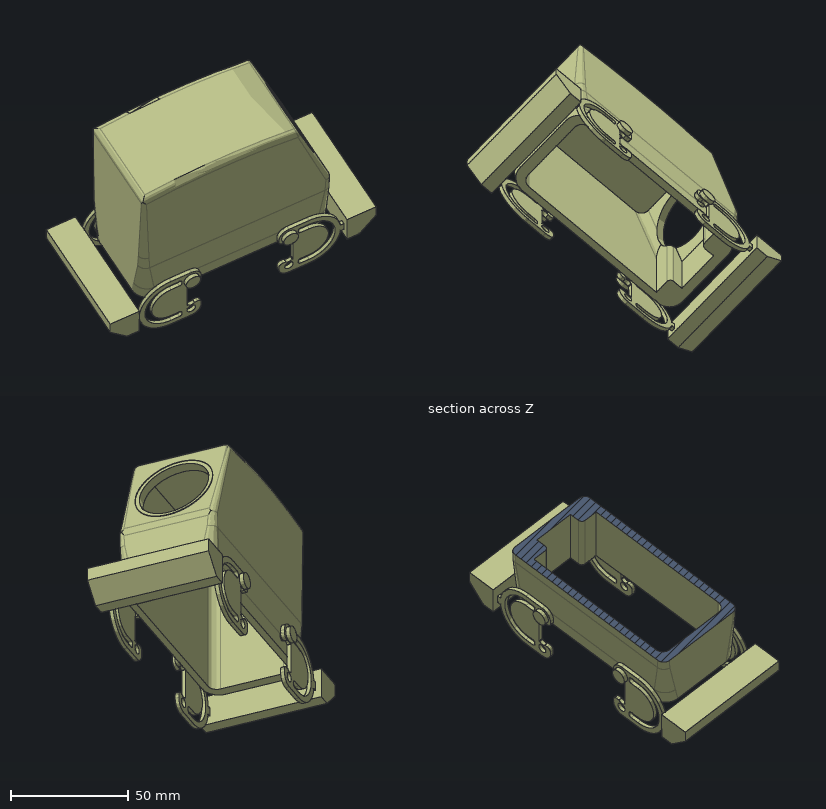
import cadquery as cq
import math


crown_height = 75.85
crown_y = -6.6
roof_radius = 270.0
roof_edge_round = 2.9
slope_top_round = 1.4
base_half_length = 46.6
wall_draft = 0.012
half_width = 22.8
skirt_half_width = 22.3
foot_half_width = 22.0
loft_top = crown_height + 1.0

skirt_height = 6.9
waist_height = 23.4
bend_height = 30.7

foot_corner_rounds = (7.4, 7.4)
skirt_corner_rounds = (6.5, 6.2)
waist_corner_rounds = (3.9, 3.4)
bend_corner_rounds = (3.5, 2.9)
top_corner_rounds = (1.5, 1.5)

bend_round = 12.0
roof_rear_height = 73.6
slope_angle = 20.4
slope_run = math.tan(math.radians(slope_angle))
bend_y = base_half_length - wall_draft * bend_height

wall = 4.0
slope_wall = 4.3
cavity_corner_round = 4.0
post_inner_x = 10.1
post_front_y = 35.4
post_edge_round = 2.0
cable_hole_diameter = 32.2
spotface_diameter = 36.0
spotface_depth = 0.3
cable_hole_height = 51.9

lever_center_y = 33.6
lever_center_z = -4.23
lever_radius = 15.45
lever_inner_x = 23.9
lever_thickness = 1.85
lobe_radius = 4.85
pivot_y = 23.75
pivot_z = lever_center_z + lever_radius - lobe_radius
pivot_hole_diameter = 4.1
notch_radius = 1.9
notch_gap = 0.65
mouth_half_height = 7.1
tip_round = 1.9
slot_outer_radius = 12.65
slot_inner_radius = 9.45
slot_end_y = 28.3
slot_end_round = 1.2
link_height = 4.1

pin_radius = 1.87
pin_inner_x = 20.0
head_radius = 3.6
head_outer_x = 27.7

handle_length = 57.0
handle_outer_y = 64.75
handle_size = 14.25
handle_inner_y = handle_outer_y - handle_size
handle_top = 4.0
handle_bevel = 8.2


def end_wall_y(z):
    """Distance of an upright end wall from the XZ plane at height z."""
    return base_half_length - wall_draft * z


def slope_y(z):
    """Y of the sloping rear face at height z."""
    return bend_y - slope_run * (z - bend_height)


def rounded_section(z, y_front, y_rear, half_x, front_round, rear_round):
    """Closed rectangle with rounded corners, lying at height z."""
    def corner(x_sign, y_edge, y_sign, radius):
        cx = x_sign * (half_x - radius)
        cy = y_edge - y_sign * radius
        on_side = (x_sign * half_x, cy)
        middle = (cx + x_sign * radius * math.sqrt(0.5), cy + y_sign * radius * math.sqrt(0.5))
        on_end = (cx, y_edge)
        return on_side, middle, on_end

    front_right = corner(1, y_front, -1, front_round)
    rear_right = corner(1, y_rear, 1, rear_round)
    rear_left = corner(-1, y_rear, 1, rear_round)
    front_left = corner(-1, y_front, -1, front_round)
    outline = (
        cq.Workplane("XY", origin=(0, 0, z))
        .moveTo(*front_right[0])
        .lineTo(*rear_right[0]).threePointArc(*rear_right[1:])
        .lineTo(*rear_left[2]).threePointArc(*rear_left[1::-1])
        .lineTo(*front_left[0]).threePointArc(*front_left[1:])
        .lineTo(*front_right[2]).threePointArc(*front_right[1::-1])
        .close()
    )
    return outline.val()


def roof_z(y):
    """Height of the arched roof at position y."""
    return crown_height - roof_radius + math.sqrt(roof_radius**2 - (y - crown_y) ** 2)


def arched_block():
    """Hood side profile carried straight across, with its roof edges rounded."""
    front_y = -end_wall_y(crown_height)
    rear_y = slope_y(roof_rear_height)
    block = (
        cq.Workplane("YZ")
        .moveTo(-end_wall_y(0), 0)
        .lineTo(front_y, roof_z(front_y))
        .threePointArc((crown_y, crown_height), (rear_y, roof_z(rear_y)))
        .lineTo(bend_y, bend_height)
        .lineTo(end_wall_y(0), 0)
        .close()
        .extrude(half_width, both=True)
    )
    bend = cq.NearestToPointSelector((0, bend_y, bend_height))
    slope_top = cq.NearestToPointSelector((0, rear_y, roof_z(rear_y)))
    block = block.edges(bend).fillet(bend_round)
    block = block.faces("%CYLINDER and >Z").edges("not(>Y)").fillet(roof_edge_round)
    return block.edges(slope_top).fillet(slope_top_round)


def tapered_sleeve():
    """Drafted upright walls whose corner rounds grow toward the foot."""
    stations = [
        (0, end_wall_y(0), foot_half_width, foot_corner_rounds),
        (skirt_height, end_wall_y(skirt_height), skirt_half_width, skirt_corner_rounds),
        (waist_height, end_wall_y(waist_height), half_width, waist_corner_rounds),
        (bend_height, bend_y, half_width, bend_corner_rounds),
        (loft_top, slope_y(loft_top), half_width, top_corner_rounds),
    ]
    sections = [
        rounded_section(z, -end_wall_y(z), rear_y, half_x, *corner_rounds)
        for z, rear_y, half_x, corner_rounds in stations
    ]
    return cq.Workplane(cq.Solid.makeLoft(sections, True))


def cavity():
    """Open-bottomed hollow that keeps the wall even behind the sloping face."""
    slope_shift = slope_wall / math.cos(math.radians(slope_angle))
    cavity_top = roof_rear_height - wall
    front_y = wall - end_wall_y(cavity_top)
    rear_y = end_wall_y(bend_height) - wall
    knee_z = bend_height + (bend_y - slope_shift - rear_y) / slope_run
    stations = [
        (0, rear_y),
        (knee_z, rear_y),
        (cavity_top, slope_y(cavity_top) - slope_shift),
    ]
    sections = [
        rounded_section(z, front_y, y, half_width - wall, cavity_corner_round, cavity_corner_round)
        for z, y in stations
    ]
    return cq.Workplane(cq.Solid.makeLoft(sections, True))


def rear_posts():
    """Full-height posts that fill the two rear corners of the hollow."""
    post = (
        cq.Workplane("XY")
        .box(
            half_width - post_inner_x,
            base_half_length - post_front_y,
            crown_height,
            centered=False,
        )
        .edges("|Z and <X and <Y")
        .fillet(post_edge_round)
        .translate((post_inner_x, post_front_y, 0))
    )
    return post.union(post.mirror("YZ"))


def cable_entry():
    """Round hole through the sloping wall with a shallow spotface around it."""
    lean = math.radians(slope_angle)
    face = cq.Plane(
        origin=(0, slope_y(cable_hole_height), cable_hole_height),
        xDir=(1, 0, 0),
        normal=(0, math.cos(lean), math.sin(lean)),
    )
    hole = cq.Workplane(face).circle(cable_hole_diameter / 2).extrude(-2 * slope_wall)
    spotface = cq.Workplane(face).circle(spotface_diameter / 2).extrude(-spotface_depth)
    return hole.union(spotface)


def hood():
    shell = arched_block().intersect(tapered_sleeve())
    return shell.cut(cavity().cut(rear_posts())).cut(cable_entry())


def lever_sketch():
    """Workplane on the inner lever face, centered on the large round end."""
    return cq.Workplane("YZ", origin=(lever_inner_x, lever_center_y, lever_center_z))


def lever_slot():
    """C-shaped window that follows the round end of the lever."""
    end = slot_end_y - lever_center_y
    slot = (
        lever_sketch()
        .moveTo(end, slot_outer_radius)
        .lineTo(0, slot_outer_radius)
        .threePointArc((slot_outer_radius, 0), (0, -slot_outer_radius))
        .lineTo(end, -slot_outer_radius)
        .lineTo(end, -slot_inner_radius)
        .lineTo(0, -slot_inner_radius)
        .threePointArc((slot_inner_radius, 0), (0, slot_inner_radius))
        .lineTo(end, slot_inner_radius)
        .close()
        .extrude(lever_thickness)
    )
    return slot.edges("|X and <Y").fillet(slot_end_round)


def lever_plate():
    """Flat D-shaped lever with a hooked lobe at each end of its open side."""
    lobe_y = pivot_y - lever_center_y
    lobe_z = pivot_z - lever_center_z
    lobe_tip_y = lobe_y - lobe_radius
    inner_edge_y = lobe_y + notch_radius
    notch_z = lobe_z - pivot_hole_diameter / 2 - notch_gap - notch_radius
    lobe_bend = lobe_radius * math.sqrt(0.5)

    plate = (
        lever_sketch()
        .moveTo(lobe_y, lever_radius)
        .lineTo(0, lever_radius)
        .threePointArc((lever_radius, 0), (0, -lever_radius))
        .lineTo(lobe_y, -lever_radius)
        .threePointArc((lobe_y - lobe_bend, -lobe_z - lobe_bend), (lobe_tip_y, -lobe_z))
        .lineTo(lobe_tip_y, -mouth_half_height)
        .lineTo(inner_edge_y, -mouth_half_height)
        .lineTo(inner_edge_y, mouth_half_height)
        .lineTo(lobe_tip_y, mouth_half_height)
        .lineTo(lobe_tip_y, lobe_z)
        .threePointArc((lobe_y - lobe_bend, lobe_z + lobe_bend), (lobe_y, lever_radius))
        .close()
        .extrude(lever_thickness)
    )
    for side in (1, -1):
        tip = (lever_inner_x, pivot_y - lobe_radius, lever_center_z + side * mouth_half_height)
        plate = plate.edges("|X").edges(cq.NearestToPointSelector(tip)).fillet(tip_round)
    notches = (
        lever_sketch()
        .pushPoints([(lobe_y, notch_z), (lobe_y, -notch_z)])
        .circle(notch_radius)
        .extrude(lever_thickness)
    )
    lower_hole = (
        lever_sketch()
        .center(lobe_y, -lobe_z)
        .circle(pivot_hole_diameter / 2)
        .extrude(lever_thickness)
    )
    return plate.cut(notches).cut(lower_hole).cut(lever_slot())


def lever_link():
    """Short tab that joins the round end of the lever to the handle."""
    inner_y = lever_center_y + (lever_radius + slot_outer_radius) / 2
    length = handle_inner_y - inner_y
    return (
        cq.Workplane("YZ", origin=(lever_inner_x, inner_y + length / 2, lever_center_z))
        .rect(length, link_height)
        .extrude(lever_thickness)
    )


def pivot_pin():
    """Pin from the hood wall through the lever, with its round head outside."""
    head_inner_x = lever_inner_x + lever_thickness
    pin = (
        cq.Workplane("YZ", origin=(pin_inner_x, pivot_y, pivot_z))
        .circle(pin_radius)
        .extrude(head_inner_x - pin_inner_x)
    )
    head = (
        cq.Workplane("YZ", origin=(head_inner_x, pivot_y, pivot_z))
        .circle(head_radius)
        .extrude(head_outer_x - head_inner_x)
    )
    return pin.union(head)


def handle():
    """Square bar joining both levers, beveled along its lower outer edge."""
    handle_bottom = handle_top - handle_size
    return (
        cq.Workplane("YZ")
        .polyline([
            (handle_inner_y, handle_bottom),
            (handle_outer_y - handle_bevel, handle_bottom),
            (handle_outer_y, handle_bottom + handle_bevel),
            (handle_outer_y, handle_top),
            (handle_inner_y, handle_top),
        ])
        .close()
        .extrude(handle_length / 2, both=True)
    )


def locking_assembly():
    """Both levers, their pins and the handle on the +Y end."""
    one_side = lever_plate().union(lever_link()).union(pivot_pin())
    return handle().union(one_side).union(one_side.mirror("YZ"))


rear_lock = locking_assembly()
result = hood().union(rear_lock).union(rear_lock.mirror("XZ"))